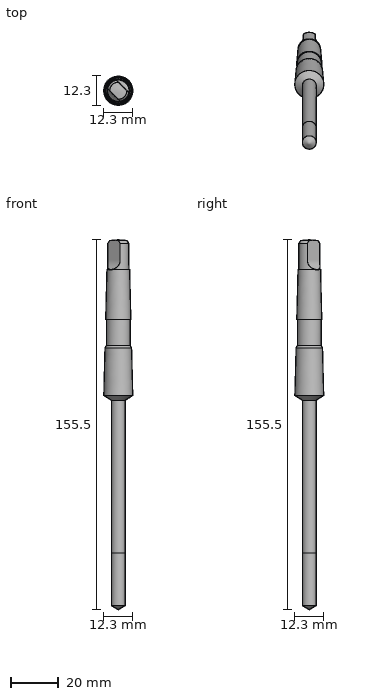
import cadquery as cq
import math

TOTAL_LENGTH = 155.5

SHANK_LENGTH = 65.5
SHANK_MAX_DIAMETER = 12.3
TAPER_PER_LENGTH = 0.05
SHOULDER_HEIGHT = 2.0
TANG_DIAMETER = 9.0
TANG_ROUND_LENGTH = 12.6
TANG_FLAT_LENGTH = 8.5
TANG_THICKNESS = 5.1
TANG_RUNOUT_RADIUS = 5.0
TANG_CHAMFER_WIDTH = 1.0
TANG_CHAMFER_HEIGHT = 1.2
TANG_CROWN_HEIGHT = 0.3
TANG_ANGLE = 45.0

RELIEF_DIAMETER = 10.1
RELIEF_TOP_DEPTH = 33.5
RELIEF_BOTTOM_DEPTH = 44.5
RELIEF_CHAMFER_HEIGHT = 1.0

STEM_DIAMETER = 5.9
NECK_END_DEPTH = 78.0
TIP_LENGTH = 23.8
POINT_ANGLE = 118.0

shank_end_z = TOTAL_LENGTH - SHANK_LENGTH
neck_end_z = TOTAL_LENGTH - NECK_END_DEPTH
crown_base_z = TOTAL_LENGTH - TANG_CROWN_HEIGHT
tang_base_z = TOTAL_LENGTH - TANG_ROUND_LENGTH
relief_top_z = TOTAL_LENGTH - RELIEF_TOP_DEPTH
relief_bottom_z = TOTAL_LENGTH - RELIEF_BOTTOM_DEPTH
relief_chamfer_z = relief_bottom_z - RELIEF_CHAMFER_HEIGHT


def taper_radius(z):
    """Radius of the shank taper at height z."""
    return (SHANK_MAX_DIAMETER - TAPER_PER_LENGTH * (z - shank_end_z)) / 2


def revolve_about_z(points):
    """Solid of revolution from (radius, z) points."""
    return cq.Workplane("XZ").polyline(points).close().revolve(360, (0, 0), (0, 1))


def tang_side_cutter(side):
    """Cutter for one tang flat, with a concave run-out to the tang surface."""
    flat_x = TANG_THICKNESS / 2
    flat_end_z = TOTAL_LENGTH - TANG_FLAT_LENGTH
    runout_drop = TANG_RUNOUT_RADIUS * math.sin(math.radians(45))
    runout_rise = TANG_RUNOUT_RADIUS - runout_drop
    outer_x = flat_x + TANG_RUNOUT_RADIUS
    bottom_z = flat_end_z - TANG_RUNOUT_RADIUS
    profile = (
        cq.Workplane("XZ")
        .moveTo(side * flat_x, TOTAL_LENGTH)
        .lineTo(side * flat_x, flat_end_z)
        .threePointArc(
            (side * (flat_x + runout_rise), flat_end_z - runout_drop),
            (side * outer_x, bottom_z),
        )
        .lineTo(side * outer_x, TOTAL_LENGTH)
        .close()
    )
    return profile.extrude(TANG_DIAMETER / 2, both=True)


def make_shank():
    """Taper shank with flattened tang, relief, shoulder and stem."""
    tang_radius = TANG_DIAMETER / 2
    relief_radius = RELIEF_DIAMETER / 2
    stem_radius = STEM_DIAMETER / 2
    shoulder_end_z = shank_end_z - SHOULDER_HEIGHT
    shank = revolve_about_z([
        (0, TOTAL_LENGTH),
        (tang_radius - TANG_CHAMFER_WIDTH, crown_base_z),
        (tang_radius, crown_base_z - TANG_CHAMFER_HEIGHT),
        (tang_radius, tang_base_z),
        (taper_radius(tang_base_z), tang_base_z),
        (taper_radius(relief_top_z), relief_top_z),
        (relief_radius, relief_top_z),
        (relief_radius, relief_bottom_z),
        (taper_radius(relief_chamfer_z), relief_chamfer_z),
        (taper_radius(shank_end_z), shank_end_z),
        (stem_radius, shoulder_end_z),
        (stem_radius, neck_end_z),
        (stem_radius, TIP_LENGTH),
        (0, TIP_LENGTH),
    ])
    for side in (-1, 1):
        cutter = tang_side_cutter(side).rotate((0, 0, 0), (0, 0, 1), TANG_ANGLE)
        shank = shank.cut(cutter)
    return shank


def make_tip():
    """Plain cylindrical cutting tip with a conical point."""
    radius = STEM_DIAMETER / 2
    point_height = radius / math.tan(math.radians(POINT_ANGLE / 2))
    return revolve_about_z([
        (0, 0),
        (radius, point_height),
        (radius, TIP_LENGTH),
        (0, TIP_LENGTH),
    ])


shank = make_shank()
tip = make_tip()

result = cq.Compound.makeCompound([shank.val(), tip.val()])